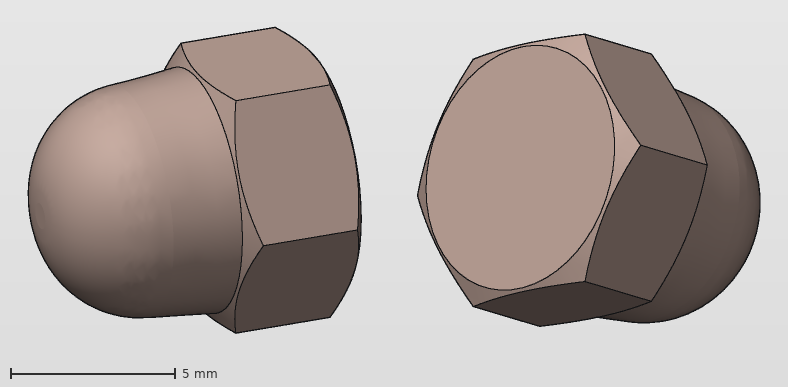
import cadquery as cq
import math

corner_diameter = 9.01
hex_height = 3.9
chamfer_angle = math.radians(30)
face_radius = 3.8

total_height = 9.0
tip_flat_radius = 0.405
dome_radius = 3.2
neck_taper = math.radians(4.7)

corner_radius = corner_diameter / 2
chamfer_height = (corner_radius - face_radius) * math.tan(chamfer_angle)


def revolve_about_y(profile):
    return profile.close().revolve(360, (0, 0, 0), (0, 1, 0))


def hex_base():
    """Hexagonal prism with the corners of both ends chamfered by a cone."""
    prism = cq.Workplane("XZ").polygon(6, corner_diameter).extrude(hex_height)
    envelope = revolve_about_y(
        cq.Workplane("XY")
        .lineTo(face_radius, 0)
        .lineTo(corner_radius, -chamfer_height)
        .lineTo(corner_radius, chamfer_height - hex_height)
        .lineTo(face_radius, -hex_height)
        .lineTo(0, -hex_height)
    )
    return prism.intersect(envelope)


def domed_cap():
    """Slightly tapered neck that runs smoothly into a dome with a small flat tip."""

    def dome_point(angle):
        """Radius and Y of the dome, with the angle measured from its equator to its tip."""
        radius = tip_flat_radius + dome_radius * math.cos(angle)
        y = dome_radius - total_height - dome_radius * math.sin(angle)
        return radius, y

    tip_angle = math.pi / 2
    mid_angle = (neck_taper + tip_angle) / 2
    return revolve_about_y(
        cq.Workplane("XY")
        .moveTo(0, -hex_height)
        .lineTo(face_radius, -hex_height)
        .lineTo(*dome_point(neck_taper))
        .threePointArc(dome_point(mid_angle), dome_point(tip_angle))
        .lineTo(0, -total_height)
    )


result = hex_base().union(domed_cap()).translate((0, total_height / 2, 0))